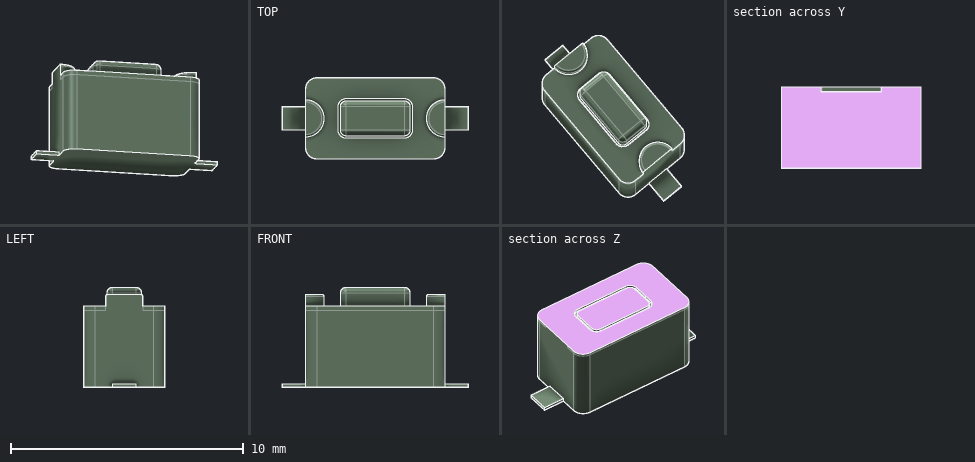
import cadquery as cq

body_length = 6.0
body_width = 3.5
body_height = 3.5
cover_thickness = 0.2
case_height = body_height - cover_thickness
corner_radius = 0.5

button_length = 3.0
button_width = 1.5
button_top = 4.3
button_edge_radius = 0.25
window_gap = 0.1
window_corner_radius = button_edge_radius + window_gap

post_radius = 0.8
post_top = 4.0
post_edge_radius = 0.1

lead_span = 8.0
lead_width = 1.0
lead_thickness = 0.15


def rounded_block(length, width, bottom, top, radius):
    """Upright block centred on Z with rounded vertical edges."""
    block = cq.Workplane("XY").workplane(offset=bottom).rect(length, width).extrude(top - bottom)
    return block.edges("|Z").fillet(radius)


def make_case():
    """Lower body, up to the underside of the cover plate."""
    return rounded_block(body_length, body_width, 0, case_height, corner_radius)


def make_cover():
    """Cover plate with a window for the button; the posts pass through it."""
    cover = rounded_block(body_length, body_width, case_height, body_height, corner_radius)
    window = rounded_block(
        button_length + 2 * window_gap,
        button_width + 2 * window_gap,
        case_height,
        body_height,
        window_corner_radius,
    )
    cover = cover.cut(window)
    for side in (-1, 1):
        cover = cover.cut(make_post(side))
    return cover


def make_button():
    """Button standing on the window floor, with a rounded top rim."""
    button = rounded_block(
        button_length,
        button_width,
        case_height,
        button_top,
        button_edge_radius,
    )
    return button.faces(">Z").edges().fillet(button_edge_radius)


def make_post(side):
    """Half-round post, rising from the case, flush with its end on the given side of X."""
    end_x = side * body_length / 2
    post = (
        cq.Workplane("XY")
        .workplane(offset=case_height)
        .center(end_x, 0)
        .circle(post_radius)
        .extrude(post_top - case_height)
        .faces(">Z")
        .edges()
        .fillet(post_edge_radius)
    )
    body_envelope = cq.Workplane("XY").box(
        body_length, body_width, post_top, centered=(True, True, False)
    )
    return post.intersect(body_envelope)


def make_lead():
    """Flat strip whose two ends stick out as solder tabs."""
    return cq.Workplane("XY").box(
        lead_span, lead_width, lead_thickness, centered=(True, True, False)
    )


moulding = make_case().union(make_lead())
for side in (-1, 1):
    moulding = moulding.union(make_post(side), clean=True)

result = moulding.union(make_button(), clean=True).union(make_cover(), clean=False)